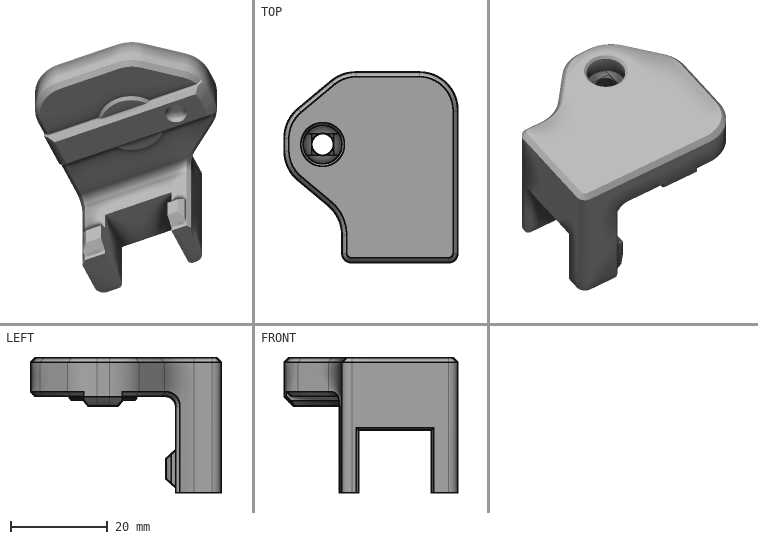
import cadquery as cq


left_x = -7.98
right_x = 28.0
back_y = 15.0
front_y = -24.5
height = 28.0

wall_left_x = 4.0
nose_half_width = 5.0
outline_radius = 7.98
front_corner_radius = 2.0
rim_chamfer = 1.0

plate_thickness = 8.0
wall_inner_y = -back_y
inside_corner_radius = 2.0

gap_left_x = 7.5
gap_right_x = 22.5
gap_top_z = -15.0
gap_chamfer = 0.5
flare_angle = 45

rib_height = 2.0
rib_half_width = 4.0
rib_lip = 1.15
rib_side_run = 0.95
rib_nose_chamfer = 1.98
wall_rib_half_width = 3.87
wall_rib_tip_half_width = 2.05
wall_rib_z = -23.0
wall_rib_left_x = 4.15

boss_diameter = 14.0
boss_height = 0.8
boss_chamfer = 0.47
boss_x = (left_x + right_x) / 2

counterbore_diameter = 8.0
counterbore_depth = 4.0
counterbore_chamfer = 0.5
hole_width = 4.5
step_depth = 0.2

overlap = 0.4


def outline_prism(depth):
    """Plan outline extruded down from the top face, with rounded corners."""
    corners = [
        (left_x, nose_half_width),
        (wall_left_x, back_y),
        (right_x, back_y),
        (right_x, front_y),
        (wall_left_x, front_y),
        (wall_left_x, -back_y),
        (left_x, -nose_half_width),
    ]
    prism = cq.Workplane("XY").polyline(corners).close().extrude(-depth)
    front_edges = cq.selectors.BoxSelector(
        (left_x, front_y - overlap, -depth), (right_x + overlap, front_y + overlap, 0)
    )
    prism = prism.edges("|Z").edges(front_edges).fillet(front_corner_radius)
    for x, y in corners:
        if y != front_y:
            edge = cq.selectors.NearestToPointSelector((x, y, -depth / 2))
            prism = prism.edges("|Z").edges(edge).fillet(outline_radius)
    return prism


def bracket_body():
    """Plate and front wall in one, chamfered around the top and the inner rim."""
    body = outline_prism(height).faces(">Z").edges().chamfer(rim_chamfer)
    span = right_x - left_x
    inside = (
        cq.Workplane("XY")
        .box(span + 2 * overlap, 2 * back_y + overlap, height, centered=False)
        .translate((left_x - overlap, wall_inner_y, -plate_thickness - height))
        .edges("|X and <Y and >Z")
        .fillet(inside_corner_radius)
    )
    body = body.cut(inside)
    wall_edge = cq.selectors.NearestToPointSelector((wall_left_x, wall_inner_y, -height * 2 / 3))
    return body.edges("|Z").edges(wall_edge).chamfer(rim_chamfer)


def plate_rib():
    """Rib along X under the plate; its left end is sloped and follows the nose outline."""
    rib_bottom = -plate_thickness - rib_height
    rib_corner = rib_bottom + rib_lip
    profile = [
        (-rib_half_width, 0),
        (rib_half_width, 0),
        (rib_half_width, rib_corner),
        (rib_half_width - rib_side_run, rib_bottom),
        (rib_side_run - rib_half_width, rib_bottom),
        (-rib_half_width, rib_corner),
    ]
    span = right_x - left_x
    bar = cq.Workplane("YZ", origin=(left_x, 0, 0)).polyline(profile).close().extrude(span)
    nose = outline_prism(-rib_bottom).faces("<Z").edges().chamfer(rib_nose_chamfer)
    below_rim = cq.Workplane("XY", origin=(0, 0, -rim_chamfer)).rect(4 * span, 4 * span).extrude(-height)
    return bar.intersect(nose).intersect(below_rim)


def boss():
    """Round boss under the plate, midway along it."""
    return (
        cq.Workplane("XY", origin=(boss_x, 0, overlap - plate_thickness))
        .circle(boss_diameter / 2)
        .extrude(-boss_height - overlap)
        .faces("<Z")
        .chamfer(boss_chamfer)
    )


def wall_rib():
    """Rib along X behind the wall, with sloped sides and sloped ends."""
    start_x = wall_rib_left_x
    end_x = right_x - rim_chamfer
    rib_length = end_x - start_x
    tip_y = wall_inner_y + rib_height
    profile = [
        (wall_inner_y - overlap, wall_rib_z - wall_rib_half_width),
        (wall_inner_y, wall_rib_z - wall_rib_half_width),
        (tip_y, wall_rib_z - wall_rib_tip_half_width),
        (tip_y, wall_rib_z + wall_rib_tip_half_width),
        (wall_inner_y, wall_rib_z + wall_rib_half_width),
        (wall_inner_y - overlap, wall_rib_z + wall_rib_half_width),
    ]
    rib = cq.Workplane("YZ", origin=(start_x, 0, 0)).polyline(profile).close().extrude(rib_length)
    ends = [
        (start_x, wall_inner_y - overlap),
        (end_x, wall_inner_y - overlap),
        (end_x, tip_y - rib_lip),
        (end_x - rib_lip, tip_y),
        (start_x + rib_lip, tip_y),
        (start_x, tip_y - rib_lip),
    ]
    return rib.intersect(cq.Workplane("XY").polyline(ends).close().extrude(-height))


def leg_gap():
    """Opening through the wall, flared at the front face."""
    depth = wall_inner_y + rib_height - front_y + overlap
    gap_width = gap_right_x - gap_left_x
    gap_height = height + gap_top_z + 2 * gap_chamfer
    middle = ((gap_left_x + gap_right_x) / 2, front_y, gap_top_z - gap_height / 2)
    plane = cq.Plane(origin=middle, xDir=(1, 0, 0), normal=(0, -1, 0))
    opening = cq.Workplane(plane).rect(gap_width, gap_height).extrude(-depth)
    flare = (
        cq.Workplane(plane)
        .rect(gap_width + 2 * gap_chamfer, gap_height + 2 * gap_chamfer)
        .extrude(-gap_chamfer, taper=flare_angle)
    )
    return opening.union(flare)


def screw_hole():
    """Chamfered counterbore, a slot step, a square step and a round through hole."""
    radius = counterbore_diameter / 2
    counterbore = cq.Workplane("XY").circle(radius).extrude(-counterbore_depth)
    mouth = cq.Solid.makeCone(
        radius + counterbore_chamfer, radius, counterbore_chamfer, dir=cq.Vector(0, 0, -1)
    )
    slot = (
        cq.Workplane("XY")
        .rect(counterbore_diameter, hole_width)
        .extrude(-counterbore_depth - step_depth)
        .intersect(cq.Workplane("XY").circle(radius).extrude(-height))
    )
    square = cq.Workplane("XY").rect(hole_width, hole_width).extrude(-counterbore_depth - 2 * step_depth)
    through = cq.Workplane("XY").circle(hole_width / 2).extrude(-height)
    return counterbore.union(cq.Workplane(mouth)).union(slot).union(square).union(through)


result = (
    bracket_body()
    .union(plate_rib())
    .union(boss())
    .union(wall_rib())
    .cut(leg_gap())
    .cut(screw_hole())
)